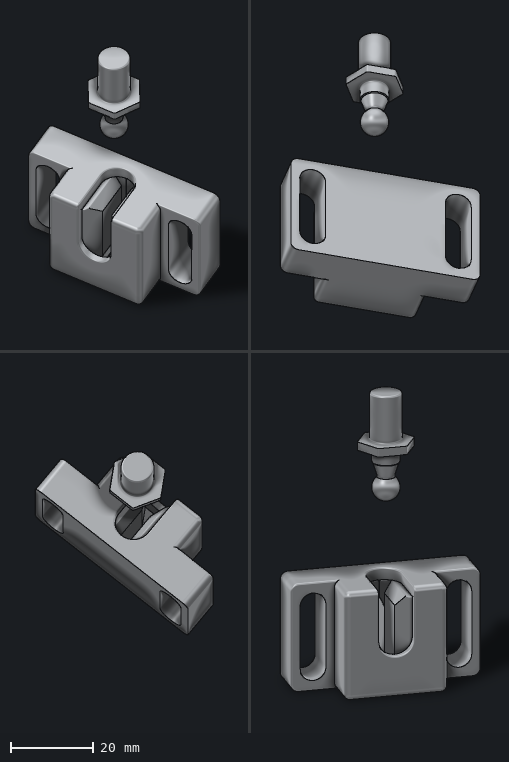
import cadquery as cq
import math


housing_width = 48.0
housing_depth = 20.0
housing_height = 28.0
lug_depth = 10.1
lug_corner_radius = 2.0
lug_edge_radius = 0.5
block_width = 26.0
block_edge_radius = 1.5
back_y = housing_depth / 2
front_y = -housing_depth / 2

mount_slot_width = 6.5
mount_slot_height = 22.5
mount_slot_x = 18.45

entry_width = 9.0
entry_bottom_center_z = 15.0
entry_top_center_y = 1.5
entry_edge_radius = 0.45

front_wall = 2.0
top_wall = 3.0
floor_wall = top_wall
side_wall = 3.0
back_wall = front_wall
cavity_width = block_width - 2 * side_wall
cavity_front_y = front_y + front_wall
cavity_back_y = back_y - back_wall
cavity_top_z = housing_height - top_wall

jaw_clearance = 0.2
jaw_front_y = cavity_front_y + jaw_clearance
jaw_top_z = cavity_top_z - jaw_clearance
jaw_gap = 0.15
jaw_edge_radius = 0.2
grip_half_gap = 1.3
grip_wall = 2.0
grip_back_y = cavity_back_y - grip_wall
grip_floor_z = floor_wall + grip_wall
lead_angle = 30
front_lead_half_width = 3.85
top_lead_height = 3.3

stud_top_z = 75.6
shank_diameter = 8.0
stud_fillet = 0.5
hex_across_flats = 12.6
hex_edge_radius = 0.5
hex_top_z = 63.3
hex_bottom_z = 61.1
ball_diameter = 7.0
ball_center_z = 50.95
collar_diameter = 7.0
collar_bottom_z = 57.45
collar_chamfer = 0.2
neck_diameter = 4.45
neck_top_z = 54.1


def box(x_min, x_max, y_min, y_max, z_min, z_max):
    """Box between two opposite corners."""
    return (
        cq.Workplane("XY")
        .box(x_max - x_min, y_max - y_min, z_max - z_min, centered=False)
        .translate((x_min, y_min, z_min))
    )


def make_lug_plate():
    """Back plate with rounded corners and a rounded front rim."""
    plate = box(
        -housing_width / 2, housing_width / 2, back_y - lug_depth, back_y, 0, housing_height
    )
    return plate.edges("|Y").fillet(lug_corner_radius).faces("<Y").edges().fillet(lug_edge_radius)


def make_block():
    """Middle block, rounded on every edge except those at the back."""
    block = box(-block_width / 2, block_width / 2, front_y, back_y, 0, housing_height)
    return block.edges("|Y or <Y").fillet(block_edge_radius)


def make_mount_slots():
    """Upright slotted holes through both lugs."""
    return (
        cq.Workplane("XZ", origin=(0, back_y, 0))
        .pushPoints([(side * mount_slot_x, housing_height / 2) for side in (-1, 1)])
        .slot2D(mount_slot_height, mount_slot_width, angle=90)
        .extrude(housing_depth)
    )


def make_entry_cutter():
    """Slot that runs down the front wall and back along the top wall, with round ends."""
    radius = entry_width / 2
    slot = box(-radius, radius, front_y, entry_top_center_y, entry_bottom_center_z, housing_height)
    front_end = (
        cq.Workplane("XZ", origin=(0, entry_top_center_y, entry_bottom_center_z))
        .circle(radius)
        .extrude(entry_top_center_y - front_y)
    )
    top_end = (
        cq.Workplane("XY", origin=(0, entry_top_center_y, entry_bottom_center_z))
        .circle(radius)
        .extrude(housing_height - entry_bottom_center_z)
    )
    return slot.union(front_end).union(top_end)


def make_housing():
    outside = make_lug_plate().union(make_block()).cut(make_mount_slots()).cut(make_entry_cutter())
    rim_back = (0, entry_top_center_y + entry_width / 2, housing_height)
    outside = outside.edges(cq.NearestToPointSelector(rim_back)).fillet(entry_edge_radius)
    cavity = box(
        -cavity_width / 2, cavity_width / 2, cavity_front_y, cavity_back_y, floor_wall, cavity_top_z
    )
    return outside.cut(cavity)


def make_grip_cutter():
    """Slit between the jaws, widened toward the front and toward the top."""
    taper = math.tan(math.radians(lead_angle))
    front_lead_depth = (front_lead_half_width - grip_half_gap) / taper
    top_lead_half_width = grip_half_gap + top_lead_height * taper
    plan = (
        cq.Workplane("XY", origin=(0, 0, grip_floor_z))
        .moveTo(-front_lead_half_width, jaw_front_y)
        .lineTo(front_lead_half_width, jaw_front_y)
        .lineTo(grip_half_gap, jaw_front_y + front_lead_depth)
        .lineTo(grip_half_gap, grip_back_y)
        .lineTo(-grip_half_gap, grip_back_y)
        .lineTo(-grip_half_gap, jaw_front_y + front_lead_depth)
        .close()
        .extrude(jaw_top_z - grip_floor_z)
    )
    top_lead = (
        cq.Workplane("XZ", origin=(0, grip_back_y, 0))
        .moveTo(-grip_half_gap, jaw_top_z - top_lead_height)
        .lineTo(grip_half_gap, jaw_top_z - top_lead_height)
        .lineTo(top_lead_half_width, jaw_top_z)
        .lineTo(-top_lead_half_width, jaw_top_z)
        .close()
        .extrude(grip_back_y - jaw_front_y)
    )
    return plan.union(top_lead)


def make_jaw(side):
    """One jaw; side is -1 for the -X jaw and 1 for the +X jaw."""
    blank = box(jaw_gap / 2, cavity_width / 2, jaw_front_y, cavity_back_y, floor_wall, jaw_top_z)
    jaw = blank.cut(make_grip_cutter()).faces("<Y or >Z").edges().fillet(jaw_edge_radius)
    return jaw if side > 0 else jaw.mirror("YZ")


def make_ball_stud():
    """Shank, hexagon, collar, tapered neck and ball on the Z axis."""
    shank_radius = shank_diameter / 2
    collar_radius = collar_diameter / 2
    neck_radius = neck_diameter / 2
    ball_radius = ball_diameter / 2
    ball_joint_z = ball_center_z + math.sqrt(ball_radius**2 - neck_radius**2)
    fillet_mid = stud_fillet * (1 - math.sqrt(0.5))
    turned = (
        cq.Workplane("XZ")
        .moveTo(0, ball_center_z - ball_radius)
        .threePointArc((ball_radius, ball_center_z), (neck_radius, ball_joint_z))
        .lineTo(neck_radius, neck_top_z)
        .lineTo(collar_radius - collar_chamfer, collar_bottom_z)
        .lineTo(collar_radius, collar_bottom_z + collar_chamfer)
        .lineTo(collar_radius, hex_bottom_z - stud_fillet)
        .threePointArc(
            (collar_radius + fillet_mid, hex_bottom_z - fillet_mid),
            (collar_radius + stud_fillet, hex_bottom_z),
        )
        .lineTo(shank_radius + stud_fillet, hex_top_z)
        .threePointArc(
            (shank_radius + fillet_mid, hex_top_z + fillet_mid),
            (shank_radius, hex_top_z + stud_fillet),
        )
        .lineTo(shank_radius, stud_top_z - stud_fillet)
        .threePointArc(
            (shank_radius - fillet_mid, stud_top_z - fillet_mid),
            (shank_radius - stud_fillet, stud_top_z),
        )
        .lineTo(0, stud_top_z)
        .close()
        .revolve(360, (0, 0, 0), (0, 1, 0))
    )
    hexagon = (
        cq.Workplane("XY", origin=(0, 0, hex_bottom_z))
        .polygon(6, hex_across_flats, circumscribed=True)
        .extrude(hex_top_z - hex_bottom_z)
        .rotate((0, 0, 0), (0, 0, 1), 30)
        .edges("|Z")
        .fillet(hex_edge_radius)
    )
    return turned.union(hexagon)


housing = make_housing()
jaws = [make_jaw(side) for side in (-1, 1)]
ball_stud = make_ball_stud()

result = cq.Compound.makeCompound([housing.val(), *[jaw.val() for jaw in jaws], ball_stud.val()])